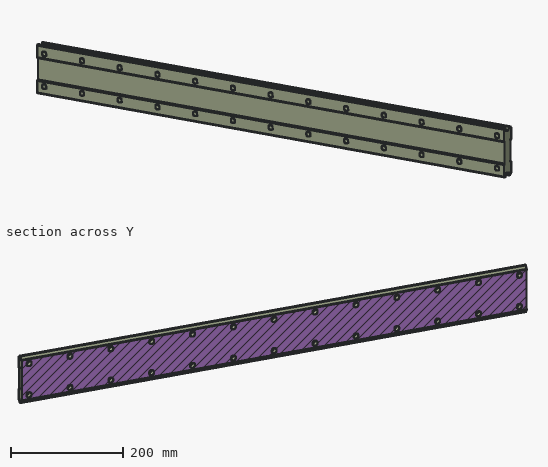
import cadquery as cq

length = 990.0
height = 90.0
web_thickness = 20.0
recess_depth = 2.1
thickness = web_thickness + 2 * recess_depth

recess_height = 40.0
recess_slope = 2.0
recess_mouth = recess_height + 2 * recess_slope

back_chamfer = 4.5
front_chamfer = 1.5

groove_center = (front_chamfer - back_chamfer) / 2
groove_width = 12.0
groove_floor_width = 6.0
groove_depth = 6.0

hole_diameter = 9.0
hole_count = 13
hole_end_margin = 15.0
hole_pitch = (length - 2 * hole_end_margin) / (hole_count - 1)
row_spacing = 60.0


def make_bar():
    """Extrude the cross-section along X, centred on the origin."""
    back = thickness / 2
    front = -back
    top = height / 2
    floor = top - groove_depth
    web = web_thickness / 2
    upper_half = [
        (-web, recess_height / 2),
        (front, recess_mouth / 2),
        (front, top - front_chamfer),
        (front + front_chamfer, top),
        (groove_center - groove_width / 2, top),
        (groove_center - groove_floor_width / 2, floor),
        (groove_center + groove_floor_width / 2, floor),
        (groove_center + groove_width / 2, top),
        (back - back_chamfer, top),
        (back, top - back_chamfer),
        (back, recess_mouth / 2),
        (web, recess_height / 2),
    ]
    lower_half = [(y, -z) for y, z in reversed(upper_half)]
    section = cq.Workplane("YZ").polyline(upper_half + lower_half).close()
    return section.extrude(length / 2, both=True)


def make_holes():
    """Cutters for the two rows of plain through holes."""
    return (
        cq.Workplane("XZ")
        .rarray(hole_pitch, row_spacing, hole_count, 2)
        .circle(hole_diameter / 2)
        .extrude(thickness, both=True)
    )


result = make_bar().cut(make_holes())